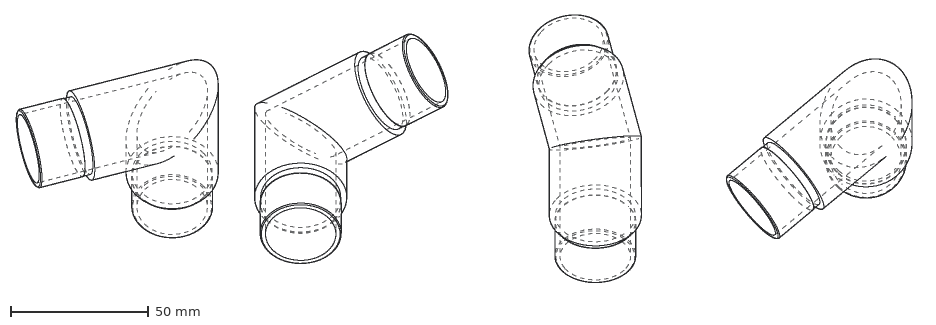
import cadquery as cq

overall_length = 72.0
body_diameter = 33.7
spigot_diameter = 29.6
groove_diameter = 29.2
bore_diameter = 25.7
spigot_length = 20.0
groove_width = 3.0
end_chamfer = 0.4

body_radius = body_diameter / 2
end_z = body_radius - overall_length
shoulder_z = end_z + spigot_length
groove_z = shoulder_z - groove_width


def cylinder(diameter, bottom_z, top_z):
    """Upright cylinder centred on the Z axis."""
    return cq.Workplane("XY", origin=(0, 0, bottom_z)).circle(diameter / 2).extrude(top_z - bottom_z)


def mitre_wedge():
    """Everything a leg must lose above the 45-degree plane z = y."""
    reach = overall_length
    return (
        cq.Workplane("YZ")
        .polyline([(-reach, -reach), (reach, reach), (-reach, reach)])
        .close()
        .extrude(body_diameter, both=True)
    )


def mitred_leg():
    """Downward leg: body, groove, chamfered spigot and through bore."""
    body = cylinder(body_diameter, shoulder_z, body_radius)
    groove = cylinder(groove_diameter, groove_z, shoulder_z)
    spigot = cylinder(spigot_diameter, end_z, groove_z).faces("<Z").chamfer(end_chamfer)
    bore = cylinder(bore_diameter, end_z, body_radius)
    return body.union(groove).union(spigot).cut(bore).cut(mitre_wedge())


lower_leg = mitred_leg()
side_leg = lower_leg.rotate((0, 0, 0), (0, 1, 1), 180)

result = lower_leg.union(side_leg)